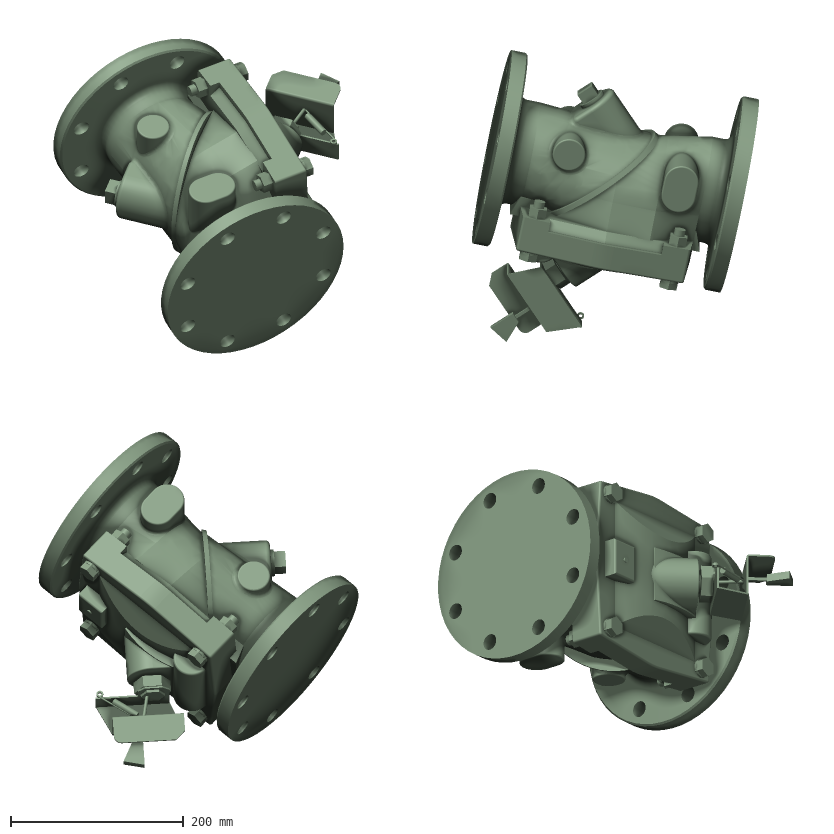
import cadquery as cq
import math

FACE_TO_FACE = 292.1
FLANGE_RADIUS = 114.3
FLANGE_RIM_THICKNESS = 19.05
FLANGE_ROOT_THICKNESS = 20.8
FLANGE_EDGE_CHAMFER = 2.0
BOLT_CIRCLE_RADIUS = 95.25
BOLT_HOLE_RADIUS = 9.5
BOLT_COUNT = 8
HUB_RADIUS = 61.3
HUB_FILLET = 9.0
BODY_END_X = 102.0
HALF_LENGTH = FACE_TO_FACE / 2

OVERLAP = 1.0
SAME_POINT = 0.01

SEAT_CENTER = (-19.5, 9.5, 0)
SEAT_RADIUS = 85.0
SEAT_THICKNESS = 5.5
SEAT_STEP = 6.0
SEAT_BEVEL = 1.5
FLOW_DIR = (1, 1, 0)
CROSS_DIR = (1, -1, 0)

SHOULDER_Y = 17.0
OUTLET_SECTIONS = (
    (-66.0, 63.0, 60.0, -47.0),
    (0.0, 86.0, 77.0, -46.0),
    (51.0, 86.0, 77.0, -51.5),
    (BODY_END_X, 56.0, 59.0, -HUB_RADIUS),
)

BONNET_BOTTOM = 49.6
BONNET_TOP = 91.0
BONNET_CORNER = (98.9, 96.0)
BONNET_END_X = 106.0
BONNET_PEAK_Z = 106.8
BONNET_EDGE = 2.4
BONNET_CORNER_FILLET = 3.0
BONNET_PEAK_FILLET = 105.0
GROOVE_HALF_LENGTH = 67.0
GROOVE_TOP = 61.3
GROOVE_DEPTH = 17.5
GROOVE_LIP = 8.5
COLLAR_BOTTOM = 39.0
COLLAR_BOTTOM_X = 104.0
COLLAR_TOP_X = 112.0
COLLAR_HALF_WIDTH = 52.0
DOME = (0.0, 73.0, (78.0, 50.0), BONNET_TOP, 106.0)
SADDLE = (-18.0, 37.0, (34.0, 32.0), 107.0, 112.5)
HINGE_AXIS = (-69.5, 90.5)
HINGE_RADIUS = 21.5
HINGE_HALF_LENGTH = 52.0
PAD_X = 73.5
PAD_LENGTH = 36.0
PAD_WIDTH = 44.0
PAD_TOP = 107.0
PAD_KNOB_RADIUS = 3.0
PAD_KNOB_HEIGHT = 1.6

STUD_X = 83.0
STUD_Z = 83.5
HEX_FLATS = 20.0
WASHER_RADIUS = 11.0
WASHER_HEIGHT = 3.0
BOLT_HEAD_TOP = 102.0
NUT_BOTTOM = 38.2
STUD_RADIUS = 6.4
STUD_BOTTOM = 30.6

ROUND_BOSS_CENTER = (-60.7, -27.8)
ROUND_BOSS_RADIUS = 19.0
ROUND_BOSS_Z = 74.5
LONG_BOSS_CENTER = (72.3, -18.9)
LONG_BOSS_RADIUS = 20.0
LONG_BOSS_LENGTH = 56.0
LONG_BOSS_Z = 95.5
BOSS_EDGE_FILLET = 1.8
ROUND_BOSS_ROOT_FILLET = 5.0
LONG_BOSS_ROOT_FILLET = 3.0

STUB_LENGTH = 57.0
STUB_RADIUS = 30.0
STUB_DEPTH = 70.0
STUB_CORNER = 7.0
STUB_EDGE_FILLET = 5.0
STUB_ROOT_FILLET = 5.0
LOWER_STUB_CENTER = (-44.2, -76.3, 0)

PLUG_COLLAR_RADIUS = 15.5
PLUG_COLLAR_HEIGHT = 4.2
PLUG_SQUARE = 20.0
PLUG_HEIGHT = 17.4
PLUG_OFFSET = 2.2

UPPER_STUB_CENTER = (-33.3, 127.3, 0)
SHAFT_T = -5.0
UPPER_STUB_EDGE_FILLET = 1.5
SPINDLE_RADIUS = 11.0
SPINDLE_HEX_SPAN = (3.5, 17.0)
SPINDLE_HEX_DIAMETER = 43.0
LOCKNUT_TOP = 22.0
LOCKNUT_DIAMETER = 28.0
SHEET = 2.0
BRACKET_BOTTOM = -30.5
FOOT_TOP_Z = -5.0
LUG_TOP_Z = 17.0
LUG_END_T = 12.0
LUG_CORNER = 8.0
FOLD_RADIUS = 3.0
FOOT_N = 17.0
FOOT_T = (-24.3, 61.5)
SHELF_N = 55.0
SHELF_T = (-39.0, 43.8)
COVER_TOP_Z = 19.7
COVER_N = 87.0
COVER_CHAMFER = 11.0
COVER_ROUND = 9.0
FLAG_HALF_THICKNESS = 4.5
FLAG_TOP_N = 110.0
FLAG_TIP = (34.2, 104.0)
FLAG_BEND = (26.0, COVER_N)
FLAG_T = (10.0, 22.0)
FLAG_ROOT_N = 79.0
FLAG_STEM_HALF = 1.8
SPRING_Z = 0.0
SPRING_RADIUS = 4.0
SPRING_WIRE_RADIUS = 1.0
SPRING_ANCHOR = (8.3, 54.0)
SPRING_ENDS = ((14.6, 45.0), (40.8, 25.6))
SPRING_HOOK = (56.2, 15.5)
SPRING_HOOK_RADIUS = 3.0
HOOK_HALF_HEIGHT = 1.4
SPRING_WIRE_END = (58.0, 18.0)
ARM_FOOT = (1.1, 18.0)
ARM_RADIUS = 2.0


def plan_plane(y):
    """Workplane square to Y whose local axes are X and -Z, extruding toward +Y."""
    return cq.Workplane(cq.Plane((0, y, 0), xDir=(1, 0, 0), normal=(0, 1, 0)))


def bracket_plane(z):
    """Workplane square to Z with local axes t and n, centred on the upper stub face."""
    x0, y0, _ = UPPER_STUB_CENTER
    return cq.Workplane(cq.Plane((x0, y0, z), xDir=(1, 1, 0), normal=(0, 0, 1)))


def stub_plane(offset):
    """Workplane square to the upper shaft, centred on it and offset outward along n."""
    return cq.Workplane(
        cq.Plane(UPPER_STUB_CENTER, xDir=(1, 1, 0), normal=(-1, 1, 0))
    ).center(SHAFT_T, 0).workplane(offset=offset)


def mirrored(solid, plane):
    return solid.union(solid.mirror(plane))


def flange_and_hub():
    """Right-hand flange with its hub; the other end is its mirror image."""
    root_x = HALF_LENGTH - FLANGE_ROOT_THICKNESS
    rim_x = HALF_LENGTH - FLANGE_RIM_THICKNESS
    bend = HUB_FILLET * (1 - math.sqrt(0.5))
    profile = (
        cq.Workplane("XY")
        .moveTo(BODY_END_X, 0)
        .lineTo(BODY_END_X, HUB_RADIUS)
        .lineTo(root_x - HUB_FILLET, HUB_RADIUS)
        .threePointArc((root_x - bend, HUB_RADIUS + bend), (root_x, HUB_RADIUS + HUB_FILLET))
        .lineTo(rim_x, FLANGE_RADIUS - FLANGE_EDGE_CHAMFER)
        .lineTo(rim_x + FLANGE_EDGE_CHAMFER, FLANGE_RADIUS)
        .lineTo(HALF_LENGTH, FLANGE_RADIUS)
        .lineTo(HALF_LENGTH, 0)
        .close()
    )
    flange = profile.revolve(360, (0, 0, 0), (1, 0, 0))
    holes = (
        cq.Workplane("YZ", origin=(root_x - OVERLAP, 0, 0))
        .polarArray(BOLT_CIRCLE_RADIUS, 180 / BOLT_COUNT, 360, BOLT_COUNT)
        .circle(BOLT_HOLE_RADIUS)
        .extrude(FLANGE_ROOT_THICKNESS + 2 * OVERLAP)
    )
    return flange.cut(holes)


def seat_circle(radius, along):
    """Circle square to the seat axis, shifted along that axis."""
    step = along * math.sqrt(0.5)
    center = cq.Vector(SEAT_CENTER[0] + step, SEAT_CENTER[1] + step, 0)
    return cq.Wire.makeCircle(radius, center, cq.Vector(*FLOW_DIR))


def inlet_chamber():
    """Flared shell from the inlet hub to the inclined seat ring."""
    hub_end = cq.Wire.makeCircle(HUB_RADIUS, cq.Vector(-BODY_END_X, 0, 0), cq.Vector(1, 0, 0))
    step_circle = seat_circle(SEAT_RADIUS - SEAT_STEP, -SEAT_THICKNESS)
    shell = cq.Solid.makeLoft([hub_end, step_circle], True)
    ring_back = seat_circle(SEAT_RADIUS - SEAT_BEVEL, -SEAT_THICKNESS)
    ring_front = seat_circle(SEAT_RADIUS, 0)
    ring = cq.Solid.makeLoft([ring_back, ring_front], True)
    return cq.Workplane(shell).union(cq.Workplane(ring))


def outlet_section(x, top_half, shoulder_half, floor):
    """U-shaped wire square to X: leaning walls above a round floor."""
    top = BONNET_BOTTOM + OVERLAP
    return (
        cq.Workplane("YZ", origin=(x, 0, 0))
        .moveTo(top, top_half)
        .lineTo(SHOULDER_Y, shoulder_half)
        .threePointArc((floor, 0), (SHOULDER_Y, -shoulder_half))
        .lineTo(top, -top_half)
        .close()
        .val()
    )


def outlet_chamber():
    """Straight-walled chamber under the bonnet, cut off at the seat and narrowed to the outlet hub."""
    sections = [outlet_section(*size) for size in OUTLET_SECTIONS]
    solid = cq.Workplane(cq.Solid.makeLoft(sections, True))
    seat_plane = cq.Plane(SEAT_CENTER, xDir=CROSS_DIR, normal=FLOW_DIR)
    downstream = cq.Workplane(seat_plane).rect(4 * SEAT_RADIUS, 4 * SEAT_RADIUS).extrude(FACE_TO_FACE)
    return solid.intersect(downstream)


def bonnet_block():
    cx, cz = BONNET_CORNER
    outline = [(-cx, cz), (0, BONNET_PEAK_Z), (cx, cz), (BONNET_END_X, 0),
               (cx, -cz), (0, -BONNET_PEAK_Z), (-cx, -cz), (-BONNET_END_X, 0)]
    block = (
        plan_plane(BONNET_BOTTOM)
        .polyline(outline).close()
        .extrude(BONNET_TOP - BONNET_BOTTOM)
    )
    block = block.edges("|Y").edges(">Z or <Z").fillet(BONNET_PEAK_FILLET)
    middle_y = (BONNET_TOP + BONNET_BOTTOM) / 2
    for sx in (-1, 1):
        for sz in (-1, 1):
            corner = cq.selectors.NearestToPointSelector((sx * cx, middle_y, sz * cz))
            block = block.edges("|Y").edges(corner).fillet(BONNET_CORNER_FILLET)
    block = block.faces(">Y").edges().fillet(BONNET_EDGE)
    slope = (BONNET_PEAK_Z - cz) / cx

    def groove_outline(inner_peak):
        inner_end = inner_peak - slope * GROOVE_HALF_LENGTH
        outer = BONNET_PEAK_Z + OVERLAP
        return [(-GROOVE_HALF_LENGTH, inner_end), (0, inner_peak), (GROOVE_HALF_LENGTH, inner_end),
                (GROOVE_HALF_LENGTH, outer), (-GROOVE_HALF_LENGTH, outer)]

    groove = (
        plan_plane(BONNET_BOTTOM)
        .polyline(groove_outline(BONNET_PEAK_Z - GROOVE_DEPTH)).close()
        .workplane(offset=GROOVE_TOP - BONNET_BOTTOM)
        .polyline(groove_outline(BONNET_PEAK_Z - GROOVE_LIP)).close()
        .loft(ruled=True)
    )
    return block.cut(mirrored(groove, "XY"))


def collar():
    """Flared lip of the body that carries the ends of the bonnet."""
    return (
        cq.Workplane("XY")
        .polyline([(-COLLAR_BOTTOM_X, COLLAR_BOTTOM), (COLLAR_BOTTOM_X, COLLAR_BOTTOM),
                   (COLLAR_TOP_X, GROOVE_TOP), (-COLLAR_TOP_X, GROOVE_TOP)])
        .close()
        .extrude(COLLAR_HALF_WIDTH, both=True)
    )


def dome(center_x, half_length, half_widths, edge_y, crown_y):
    """Arched crown along X whose flanks lean in from the first half width to the second."""
    foot_y = BONNET_TOP - OVERLAP
    side = (
        cq.Workplane("XY", origin=(center_x, 0, 0))
        .moveTo(-half_length, foot_y)
        .lineTo(-half_length, edge_y)
        .threePointArc((0, crown_y), (half_length, edge_y))
        .lineTo(half_length, foot_y)
        .close()
        .extrude(half_widths[0], both=True)
    )
    low, high = half_widths
    end = (
        cq.Workplane("YZ", origin=(center_x, 0, 0))
        .polyline([(foot_y, -low), (BONNET_TOP, -low), (crown_y, -high),
                   (crown_y, high), (BONNET_TOP, low), (foot_y, low)])
        .close()
        .extrude(half_length, both=True)
    )
    return side.intersect(end)


def bonnet():
    hinge = (
        cq.Workplane("XY")
        .center(*HINGE_AXIS)
        .circle(HINGE_RADIUS)
        .extrude(HINGE_HALF_LENGTH, both=True)
        .edges().fillet(BONNET_EDGE)
    )
    pad = (
        plan_plane(BONNET_TOP - OVERLAP)
        .center(PAD_X, 0)
        .rect(PAD_LENGTH, PAD_WIDTH)
        .extrude(PAD_TOP - BONNET_TOP + OVERLAP)
        .faces(">Y").edges().fillet(BONNET_EDGE)
    )
    knob = (
        plan_plane(PAD_TOP - OVERLAP)
        .center(PAD_X, 0)
        .circle(PAD_KNOB_RADIUS)
        .extrude(PAD_KNOB_HEIGHT + OVERLAP)
    )
    solid = bonnet_block()
    for piece in (collar(), dome(*DOME), dome(*SADDLE), hinge, pad, knob):
        solid = solid.union(piece)
    return solid


def bonnet_bolts():
    """Four hex bolts with washers above the bonnet and nuts below it."""
    corners = [(sx * STUD_X, sz * STUD_Z) for sx in (-1, 1) for sz in (-1, 1)]
    hex_diameter = HEX_FLATS / math.cos(math.pi / 6)

    def hexes(y, height):
        solid = cq.Workplane("XY")
        for x, z in corners:
            prism = plan_plane(y).center(x, z).transformed(rotate=(0, 0, 30))
            solid = solid.union(prism.polygon(6, hex_diameter).extrude(height))
        return solid

    def rounds(y, radius, height):
        return plan_plane(y).pushPoints(corners).circle(radius).extrude(height)

    heads = hexes(BONNET_TOP, BOLT_HEAD_TOP - BONNET_TOP)
    nuts = hexes(NUT_BOTTOM, BONNET_BOTTOM - NUT_BOTTOM)
    washers = rounds(BONNET_TOP, WASHER_RADIUS, WASHER_HEIGHT)
    studs = rounds(STUD_BOTTOM, STUD_RADIUS, BONNET_TOP - STUD_BOTTOM)
    return heads.union(nuts).union(washers).union(studs)


def round_bosses():
    bosses = (
        cq.Workplane("XY")
        .center(*ROUND_BOSS_CENTER)
        .circle(ROUND_BOSS_RADIUS)
        .extrude(ROUND_BOSS_Z, both=True)
    )
    return bosses.faces("<Z or >Z").edges().fillet(BOSS_EDGE_FILLET)


def long_bosses():
    bosses = (
        cq.Workplane("XY")
        .center(*LONG_BOSS_CENTER)
        .slot2D(LONG_BOSS_LENGTH, 2 * LONG_BOSS_RADIUS, 90)
        .extrude(LONG_BOSS_Z, both=True)
    )
    return bosses.faces("<Z or >Z").edges().fillet(BOSS_EDGE_FILLET)


def stub(face, edge_fillet):
    """Stub on an outward-looking face plane whose local x points to the round side."""
    half = STUB_LENGTH / 2
    arc_center = half - STUB_RADIUS
    axis = face.zDir
    block = (
        cq.Workplane(face)
        .moveTo(-half, -STUB_RADIUS)
        .lineTo(arc_center, -STUB_RADIUS)
        .threePointArc((half, 0), (arc_center, STUB_RADIUS))
        .lineTo(-half, STUB_RADIUS)
        .close()
        .extrude(-STUB_DEPTH)
    )
    square_side = cq.selectors.DirectionMinMaxSelector(face.xDir, False)
    end_face = cq.selectors.DirectionMinMaxSelector(axis, True)
    block = block.faces(square_side).edges(cq.selectors.ParallelDirSelector(axis)).fillet(STUB_CORNER)
    return block.faces(end_face).edges().fillet(edge_fillet)


def lower_stub_plane():
    return cq.Plane(LOWER_STUB_CENTER, xDir=CROSS_DIR, normal=tuple(-c for c in FLOW_DIR))


def drain_plug():
    seat = cq.Workplane(lower_stub_plane()).center(PLUG_OFFSET, 0)
    plug_collar = seat.circle(PLUG_COLLAR_RADIUS).extrude(PLUG_COLLAR_HEIGHT)
    square = seat.rect(PLUG_SQUARE, PLUG_SQUARE).extrude(PLUG_HEIGHT)
    return plug_collar.union(square)


def upper_stub():
    low, high = SPINDLE_HEX_SPAN
    neck = stub(stub_plane(0).plane, UPPER_STUB_EDGE_FILLET)
    spindle = stub_plane(-OVERLAP).circle(SPINDLE_RADIUS).extrude(low + 2 * OVERLAP)
    gland = stub_plane(low).polygon(6, SPINDLE_HEX_DIAMETER).extrude(high - low)
    locknut = stub_plane(high).polygon(6, LOCKNUT_DIAMETER).extrude(LOCKNUT_TOP - high)
    return neck.union(spindle).union(gland).union(locknut)


def sheet(t_span, n_span, z_span):
    """Rectangular plate given by its spans in the bracket's t, n and z."""
    return (
        bracket_plane(z_span[0])
        .moveTo(t_span[0], n_span[0])
        .lineTo(t_span[1], n_span[0])
        .lineTo(t_span[1], n_span[1])
        .lineTo(t_span[0], n_span[1])
        .close()
        .extrude(z_span[1] - z_span[0])
    )


def switch_bracket():
    """Folded sheet: foot on the gland, web below, shelf across and cover plate on top."""
    foot = sheet(FOOT_T, (FOOT_N, FOOT_N + SHEET), (BRACKET_BOTTOM, FOOT_TOP_Z))
    shelf = sheet(SHELF_T, (SHELF_N - SHEET, SHELF_N), (BRACKET_BOTTOM, COVER_TOP_Z))
    web = (
        bracket_plane(BRACKET_BOTTOM)
        .polyline([(FOOT_T[0], FOOT_N), (FOOT_T[1], FOOT_N),
                   (SHELF_T[1], SHELF_N), (SHELF_T[0], SHELF_N)])
        .close()
        .extrude(SHEET)
    )
    t0, t1 = SHELF_T
    bend = COVER_ROUND * (1 - math.sqrt(0.5))
    cover = (
        bracket_plane(COVER_TOP_Z - SHEET)
        .moveTo(t0, SHELF_N - SHEET)
        .lineTo(t1, SHELF_N - SHEET)
        .lineTo(t1, COVER_N - COVER_ROUND)
        .threePointArc((t1 - bend, COVER_N - bend), (t1 - COVER_ROUND, COVER_N))
        .lineTo(t0 + COVER_CHAMFER, COVER_N)
        .lineTo(t0, COVER_N - COVER_CHAMFER)
        .close()
        .extrude(SHEET)
    )
    lug = sheet((FOOT_T[0], LUG_END_T), (FOOT_N, FOOT_N + SHEET), (BRACKET_BOTTOM, LUG_TOP_Z))
    lug = lug.faces(">Z").edges("<X or >X").chamfer(LUG_CORNER)
    fold = cq.selectors.NearestToPointSelector(
        bracket_plane(COVER_TOP_Z).plane.toWorldCoords(((t0 + t1) / 2, SHELF_N - SHEET, 0)).toTuple()
    )
    sides = shelf.union(cover).edges(fold).fillet(FOLD_RADIUS)
    return foot.union(web).union(lug).union(sides)


def flag():
    t0, t1 = FLAG_T
    blade = (
        bracket_plane(0)
        .polyline([(t0, FLAG_ROOT_N), (t0, FLAG_TOP_N), FLAG_TIP, FLAG_BEND, (t1, FLAG_ROOT_N)])
        .close()
        .extrude(FLAG_HALF_THICKNESS, both=True)
    )
    middle = (t0 + t1) / 2
    stem = sheet(
        (middle - FLAG_STEM_HALF, middle + FLAG_STEM_HALF),
        (SHELF_N - OVERLAP, FLAG_ROOT_N + OVERLAP),
        (-FLAG_STEM_HALF, FLAG_STEM_HALF),
    )
    return blade.union(stem)


def bar(start, end, radius):
    """Round bar between two (t, n) points at the height of the spring."""
    length = math.dist(start, end)
    angle = math.degrees(math.atan2(end[1] - start[1], end[0] - start[0]))
    return (
        bracket_plane(SPRING_Z)
        .center(*start)
        .transformed(rotate=(0, 0, angle))
        .transformed(rotate=(0, 90, 0))
        .circle(radius)
        .extrude(length)
    )


def return_spring():
    coil = bar(*SPRING_ENDS, SPRING_RADIUS)
    wire = bar(SPRING_ANCHOR, SPRING_WIRE_END, SPRING_WIRE_RADIUS)
    hook = (
        bracket_plane(SPRING_Z - HOOK_HALF_HEIGHT)
        .center(*SPRING_HOOK)
        .circle(SPRING_HOOK_RADIUS + SPRING_WIRE_RADIUS)
        .circle(SPRING_HOOK_RADIUS - SPRING_WIRE_RADIUS)
        .extrude(2 * HOOK_HALF_HEIGHT)
    )
    arm = bar(SPRING_ANCHOR, ARM_FOOT, ARM_RADIUS)
    return coil.union(wire).union(hook).union(arm)


def blended(body, boss, radius):
    """Join two solids and round the curved edge where their sides meet."""
    old = [edge.Center() for edge in body.edges().vals() + boss.edges().vals()]
    joined = body.union(boss)
    root = [edge for edge in joined.edges("%BSPLINE").vals()
            if min((edge.Center() - center).Length for center in old) > SAME_POINT]
    return joined.newObject(root).fillet(radius)


inlet = blended(inlet_chamber(), round_bosses(), ROUND_BOSS_ROOT_FILLET)
inlet = blended(inlet, stub(lower_stub_plane(), STUB_EDGE_FILLET), STUB_ROOT_FILLET)
outlet = blended(outlet_chamber(), long_bosses(), LONG_BOSS_ROOT_FILLET)

result = mirrored(flange_and_hub(), "YZ").union(inlet).union(outlet)
for feature in (bonnet(), bonnet_bolts(), drain_plug(), upper_stub(),
                switch_bracket(), flag(), return_spring()):
    result = result.union(feature)